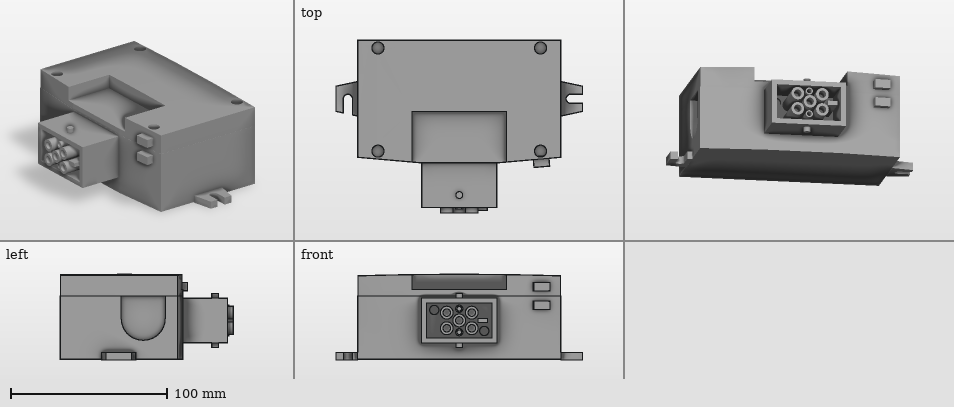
import cadquery as cq
import math

HALF_WIDTH = 65.0
BACK_Y = 37.5
SIDE_FRONT_Y = -37.5
FRONT_Y = -41.0
FRONT_FLAT_HALF_WIDTH = 25.0
JOINT_Z = 40.5
LID_SIDE_Z = 53.5
LID_CROWN_Z = 54.5
LID_INSET = 0.1

SCREW_HOLE_DIAMETER = 7.7
SCREW_HOLE_DEPTH = 4.5
SCREW_HOLE_X = 52.0
SCREW_HOLE_YS = (32.5, -33.5)

RECESS_HALF_WIDTH = 30.25
RECESS_BACK_Y = -8.2
RECESS_FLOOR_Z = 44.8

ENTRY_Y = -15.6
ENTRY_RADIUS = 14.1
ENTRY_CENTER_Z = 26.3
ENTRY_DEPTH = 5.0

TAB_TIP_X = 79.0
TAB_ROOT_HALF_LENGTH = 11.1
TAB_TIP_HALF_LENGTH = 8.1
TAB_BOTTOM_Z = -0.5
TAB_TOP_Z = 4.4
TAB_SLOT_X = 71.25
TAB_SLOT_WIDTH = 5.7

BLOCK_X = 52.4
BLOCK_LENGTH = 10.2
BLOCK_HEIGHT = 5.5
BLOCK_PROTRUSION = 5.0
BLOCK_CENTER_ZS = (46.5, 34.5)

CONNECTOR_Z = 24.9
SHROUD_WIDTH = 48.2
SHROUD_HEIGHT = 28.6
SHROUD_FRONT_Y = -69.6
CAVITY_WIDTH = 41.7
CAVITY_HEIGHT = 22.4
CAVITY_FLOOR_Y = FRONT_Y

LOCK_PIN_DIAMETER = 4.4
LOCK_PIN_Y = -61.6
LOCK_PIN_REACH = 17.4

CONTACT_DIAMETER = 8.2
CONTACT_BORE = 4.8
CONTACT_TIP_Y = -73.2
CONTACT_DX = 8.0
CONTACT_DZ = 5.0
PILOT_DIAMETER = 4.6
PILOT_BORE = 3.0
PILOT_TIP_Y = -70.4
PILOT_DZ = 7.5
CONTACT_BORE_DEPTH = 10.0
KEY_X = 15.0
KEY_WIDTH = 6.0
KEY_THICKNESS = 2.7
KEY_TIP_Y = -71.6
FLOOR_HOLE_DIAMETER = 5.9
FLOOR_HOLE_DX = 16.0
FLOOR_HOLE_DZ = 6.7
FLOOR_HOLE_DEPTH = 3.0

OVERLAP = 2.0


def box_between(x0, x1, y0, y1, z0, z1):
    """Box spanning the given coordinate ranges."""
    return cq.Workplane("XY").box(x1 - x0, y1 - y0, z1 - z0, centered=False).translate((x0, y0, z0))


def rod_along_y(x, z, diameter, start_y, end_y):
    """Round rod from start_y forward to the smaller end_y."""
    plane = cq.Workplane("XZ", origin=(x, start_y, z))
    return plane.circle(diameter / 2).extrude(start_y - end_y)


def make_housing():
    """Base with a slightly inset lid under an arched top."""
    plan = [
        (-HALF_WIDTH, BACK_Y),
        (HALF_WIDTH, BACK_Y),
        (HALF_WIDTH, SIDE_FRONT_Y),
        (FRONT_FLAT_HALF_WIDTH, FRONT_Y),
        (-FRONT_FLAT_HALF_WIDTH, FRONT_Y),
        (-HALF_WIDTH, SIDE_FRONT_Y),
    ]
    base = cq.Workplane("XY").polyline(plan).close().extrude(JOINT_Z)
    lid = (
        cq.Workplane("XY", origin=(0, 0, JOINT_Z))
        .polyline(plan)
        .close()
        .offset2D(-LID_INSET, "intersection")
        .extrude(LID_CROWN_Z - JOINT_Z)
    )
    arch = (
        cq.Workplane("XZ", origin=(0, BACK_Y, 0))
        .moveTo(-HALF_WIDTH, JOINT_Z)
        .lineTo(-HALF_WIDTH, LID_SIDE_Z)
        .threePointArc((0, LID_CROWN_Z), (HALF_WIDTH, LID_SIDE_Z))
        .lineTo(HALF_WIDTH, JOINT_Z)
        .close()
        .extrude(BACK_Y - FRONT_Y)
    )
    return base.union(lid.intersect(arch), clean=False)


def make_screw_holes():
    """Four round holes sunk into the lid."""
    points = [(side * SCREW_HOLE_X, y) for side in (-1, 1) for y in SCREW_HOLE_YS]
    floor_z = LID_SIDE_Z - SCREW_HOLE_DEPTH
    plane = cq.Workplane("XY", origin=(0, 0, floor_z)).pushPoints(points)
    return plane.circle(SCREW_HOLE_DIAMETER / 2).extrude(LID_CROWN_Z + OVERLAP - floor_z)


def make_lid_recess():
    """Rectangular cutter that opens through the lid's top and front."""
    return box_between(
        -RECESS_HALF_WIDTH, RECESS_HALF_WIDTH,
        FRONT_Y - OVERLAP, RECESS_BACK_Y,
        RECESS_FLOOR_Z, LID_CROWN_Z + OVERLAP,
    )


def make_cable_entry():
    """U-shaped pocket that ends at the underside of the lid."""
    return (
        cq.Workplane("YZ", origin=(-HALF_WIDTH, 0, 0))
        .moveTo(ENTRY_Y - ENTRY_RADIUS, JOINT_Z)
        .lineTo(ENTRY_Y - ENTRY_RADIUS, ENTRY_CENTER_Z)
        .threePointArc((ENTRY_Y, ENTRY_CENTER_Z - ENTRY_RADIUS), (ENTRY_Y + ENTRY_RADIUS, ENTRY_CENTER_Z))
        .lineTo(ENTRY_Y + ENTRY_RADIUS, JOINT_Z)
        .close()
        .extrude(ENTRY_DEPTH)
    )


def make_tab(side, slot_angle):
    """Tapered tab on one side (-1 left, 1 right) with a slot opening along slot_angle in degrees."""
    height = TAB_TOP_Z - TAB_BOTTOM_Z
    plane = cq.Workplane("XY", origin=(0, 0, TAB_BOTTOM_Z))
    tab = plane.polyline([
        (side * HALF_WIDTH, TAB_ROOT_HALF_LENGTH),
        (side * TAB_TIP_X, TAB_TIP_HALF_LENGTH),
        (side * TAB_TIP_X, -TAB_TIP_HALF_LENGTH),
        (side * HALF_WIDTH, -TAB_ROOT_HALF_LENGTH),
    ]).close().extrude(height)
    slot_run = TAB_ROOT_HALF_LENGTH + OVERLAP
    round_end = plane.circle(TAB_SLOT_WIDTH / 2).extrude(height)
    straight = plane.center(slot_run / 2, 0).rect(slot_run, TAB_SLOT_WIDTH).extrude(height)
    slot = round_end.union(straight).rotate((0, 0, 0), (0, 0, 1), slot_angle)
    return tab.cut(slot.translate((side * TAB_SLOT_X, 0, 0)))


def make_block(center_z):
    """Small block square to the slanted front face."""
    slope = (SIDE_FRONT_Y - FRONT_Y) / (HALF_WIDTH - FRONT_FLAT_HALF_WIDTH)
    face_y = FRONT_Y + slope * (BLOCK_X - FRONT_FLAT_HALF_WIDTH)
    block = box_between(
        -BLOCK_LENGTH / 2, BLOCK_LENGTH / 2,
        -BLOCK_PROTRUSION, OVERLAP,
        -BLOCK_HEIGHT / 2, BLOCK_HEIGHT / 2,
    )
    tilt = math.degrees(math.atan(slope))
    return block.rotate((0, 0, 0), (0, 0, 1), tilt).translate((BLOCK_X, face_y, center_z))


def make_shroud():
    """Rectangular shroud with locking pins, hollowed from the front."""
    shroud = box_between(
        -SHROUD_WIDTH / 2, SHROUD_WIDTH / 2,
        SHROUD_FRONT_Y, FRONT_Y,
        CONNECTOR_Z - SHROUD_HEIGHT / 2, CONNECTOR_Z + SHROUD_HEIGHT / 2,
    )
    lock_pins = (
        cq.Workplane("XY", origin=(0, LOCK_PIN_Y, CONNECTOR_Z))
        .circle(LOCK_PIN_DIAMETER / 2)
        .extrude(LOCK_PIN_REACH, both=True)
    )
    cavity = box_between(
        -CAVITY_WIDTH / 2, CAVITY_WIDTH / 2,
        SHROUD_FRONT_Y, CAVITY_FLOOR_Y,
        CONNECTOR_Z - CAVITY_HEIGHT / 2, CONNECTOR_Z + CAVITY_HEIGHT / 2,
    )
    return shroud.union(lock_pins).cut(cavity)


def make_contact(dx, dz, diameter, bore, tip_y):
    """Contact sleeve with a blind bore in its tip."""
    z = CONNECTOR_Z + dz
    sleeve = rod_along_y(dx, z, diameter, CAVITY_FLOOR_Y + OVERLAP, tip_y)
    return sleeve.cut(rod_along_y(dx, z, bore, tip_y + CONTACT_BORE_DEPTH, tip_y))


def make_key():
    """Flat coding key beside the contacts."""
    return box_between(
        KEY_X - KEY_WIDTH / 2, KEY_X + KEY_WIDTH / 2,
        KEY_TIP_Y, CAVITY_FLOOR_Y + OVERLAP,
        CONNECTOR_Z - KEY_THICKNESS / 2, CONNECTOR_Z + KEY_THICKNESS / 2,
    )


def make_floor_hole(side):
    """Blind hole in the cavity floor: upper left for -1, lower right for 1."""
    z = CONNECTOR_Z - side * FLOOR_HOLE_DZ
    bottom_y = CAVITY_FLOOR_Y + FLOOR_HOLE_DEPTH
    return rod_along_y(side * FLOOR_HOLE_DX, z, FLOOR_HOLE_DIAMETER, bottom_y, CAVITY_FLOOR_Y)


result = make_housing()
for cutter in (make_screw_holes(), make_lid_recess(), make_cable_entry()):
    result = result.cut(cutter, clean=False)

result = result.union(make_tab(-1, -90), clean=False)
result = result.union(make_tab(1, 0), clean=False)
for block_z in BLOCK_CENTER_ZS:
    result = result.union(make_block(block_z), clean=False)

result = result.union(make_shroud(), clean=False)
for floor_side in (-1, 1):
    result = result.cut(make_floor_hole(floor_side), clean=False)

contact_offsets = [(dx, dz) for dx in (-CONTACT_DX, CONTACT_DX) for dz in (-CONTACT_DZ, CONTACT_DZ)]
for dx, dz in contact_offsets + [(0, 0)]:
    result = result.union(make_contact(dx, dz, CONTACT_DIAMETER, CONTACT_BORE, CONTACT_TIP_Y), clean=False)
for dz in (-PILOT_DZ, PILOT_DZ):
    result = result.union(make_contact(0, dz, PILOT_DIAMETER, PILOT_BORE, PILOT_TIP_Y), clean=False)
result = result.union(make_key(), clean=False)